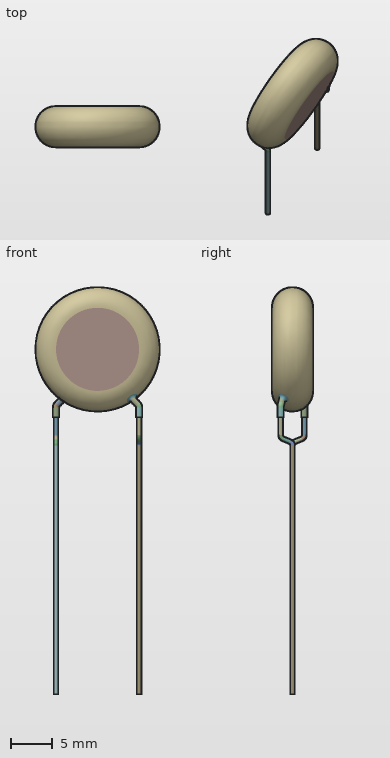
import cadquery as cq
import math

DISC_RADIUS = 7.5
DISC_THICKNESS = 5.0
RIM_RADIUS = DISC_THICKNESS / 2
FLAT_RADIUS = DISC_RADIUS - RIM_RADIUS

WIRE_DIAMETER = 0.6
LEAD_X = 5.0
LEAD_OFFSET_Y = 1.4
LEAD_LENGTH = 49 - 2 * DISC_RADIUS
LEAD_END_Z = -DISC_RADIUS - LEAD_LENGTH
UPPER_CORNER_Z = -10.65
JOG_ANGLE = 23
LOWER_CORNER_Z = UPPER_CORNER_Z - LEAD_OFFSET_Y * math.tan(math.radians(JOG_ANGLE))
BEND_RADIUS = 0.5

SLEEVE_DIAMETER = 0.8
SLEEVE_END_Z = -8.2
SLEEVE_CORNER_Z = -6.75
SLEEVE_RUN = 1.95
SLEEVE_ROOT_Y = 0.95
ROOT_FILLET = 0.4


def make_disc():
    profile = (
        cq.Workplane("XY")
        .moveTo(0, -RIM_RADIUS)
        .lineTo(FLAT_RADIUS, -RIM_RADIUS)
        .threePointArc((DISC_RADIUS, 0), (FLAT_RADIUS, RIM_RADIUS))
        .lineTo(0, RIM_RADIUS)
        .close()
    )
    return profile.revolve(360, (0, 0, 0), (0, 1, 0))


def bent_rod(corners, diameter):
    """Round rod along straight runs, with an arc at every inner corner."""
    points = [cq.Vector(*corner) for corner in corners]
    edges = []
    start = points[0]
    for before, corner, after in zip(points, points[1:], points[2:]):
        back = (before - corner).normalized()
        ahead = (after - corner).normalized()
        half_angle = back.getAngle(ahead) / 2
        setback = BEND_RADIUS / math.tan(half_angle)
        to_middle = BEND_RADIUS / math.sin(half_angle) - BEND_RADIUS
        arc_start = corner + back * setback
        arc_middle = corner + (back + ahead).normalized() * to_middle
        arc_end = corner + ahead * setback
        edges.append(cq.Edge.makeLine(start, arc_start))
        edges.append(cq.Edge.makeThreePointArc(arc_start, arc_middle, arc_end))
        start = arc_end
    edges.append(cq.Edge.makeLine(start, points[-1]))
    path = cq.Workplane("XY").newObject([cq.Wire.assembleEdges(edges)])
    section = cq.Workplane(cq.Plane(origin=points[0], normal=points[1] - points[0]))
    return section.circle(diameter / 2).sweep(path)


def make_sleeve():
    corners = [
        (LEAD_X, -LEAD_OFFSET_Y, SLEEVE_END_Z),
        (LEAD_X, -LEAD_OFFSET_Y, SLEEVE_CORNER_Z),
        (LEAD_X - SLEEVE_RUN, -SLEEVE_ROOT_Y, SLEEVE_CORNER_Z + SLEEVE_RUN),
    ]
    return bent_rod(corners, SLEEVE_DIAMETER)


def make_wire():
    corners = [
        (LEAD_X, 0, LEAD_END_Z),
        (LEAD_X, 0, LOWER_CORNER_Z),
        (LEAD_X, -LEAD_OFFSET_Y, UPPER_CORNER_Z),
        (LEAD_X, -LEAD_OFFSET_Y, SLEEVE_CORNER_Z - BEND_RADIUS),
    ]
    return bent_rod(corners, WIRE_DIAMETER)


def blend_root(body):
    """Round the joint where the +X sleeve enters the disc."""
    root_edges = cq.selectors.BoxSelector(
        (LEAD_X - SLEEVE_RUN, -RIM_RADIUS, SLEEVE_CORNER_Z + BEND_RADIUS / 2),
        (LEAD_X, 0, SLEEVE_CORNER_Z + SLEEVE_RUN),
    )
    return body.edges(root_edges).fillet(ROOT_FILLET)


def add_lead(body):
    """Add the +X lead: its sleeve, the rounded root of the sleeve, and its wire."""
    body = blend_root(body.union(make_sleeve(), clean=False))
    return body.union(make_wire(), clean=False)


def half_turn(body):
    return body.rotate((0, 0, 0), (0, 0, 1), 180)


result = add_lead(half_turn(add_lead(make_disc())))